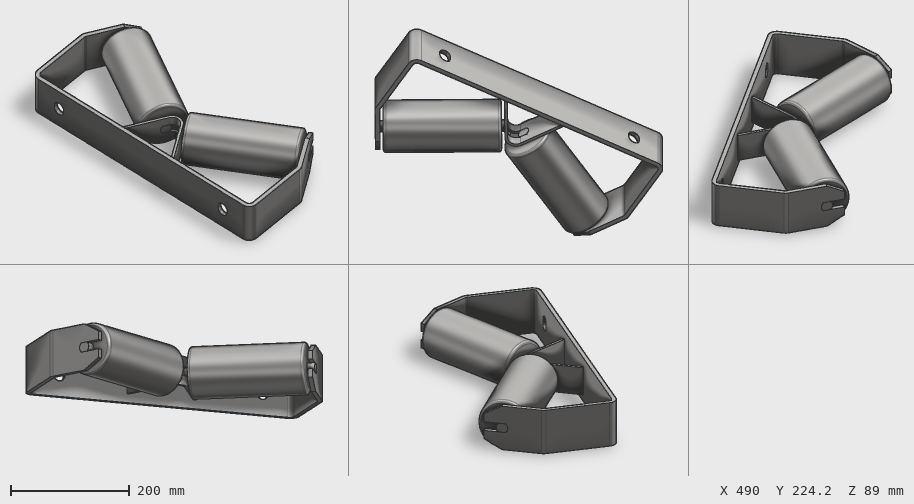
import cadquery as cq
import math

FRAME_LENGTH = 490.0
STRIP_WIDTH = 80.5
FRAME_THICKNESS = 8.0
FRAME_INNER_BEND = 8.0
FRAME_BEND = FRAME_INNER_BEND + FRAME_THICKNESS
ARM_TILT = 30.0
ARM_BEND_Y = 131.5
ARM_LENGTH = 104.0
ARM_CHAMFER_ALONG = 31.5
ARM_CHAMFER_ACROSS = 17.0

MOUNT_SLOT_X = 183.5
MOUNT_SLOT_WIDTH = 20.0
MOUNT_SLOT_HEIGHT = 26.0

ROLLER_DIAMETER = 89.0
ROLLER_LENGTH = 200.0
ROLLER_FILLET = 5.0
ROLLER_GAP = 5.5
ROLLER_SEAT = 72.5
SHAFT_DIAMETER = 20.0
SHAFT_FLATS = 16.0
SHOULDER_GAP = 1.5

BRACKET_THICKNESS = 5.0
BRACKET_HEIGHT = 50.0
BRACKET_TOP_Y = 99.5

TILT = math.radians(ARM_TILT)
ALONG_ARM = cq.Vector(math.sin(TILT), math.cos(TILT), 0)
ALONG_ROLLER = cq.Vector(math.cos(TILT), -math.sin(TILT), 0)

ARM_CORNER = cq.Vector(-FRAME_LENGTH / 2, ARM_BEND_Y, 0)
ARM_INNER_CORNER = ARM_CORNER + cq.Vector(FRAME_THICKNESS, -FRAME_THICKNESS * math.tan(TILT / 2), 0)
ARM_TIP = ARM_CORNER + ALONG_ARM * ARM_LENGTH
AXIS_START = ARM_CORNER + ALONG_ARM * ROLLER_SEAT

BARREL_START = FRAME_THICKNESS + ROLLER_GAP
BRACKET_FACE = BARREL_START + ROLLER_LENGTH + ROLLER_GAP
SHAFT_LENGTH = BRACKET_FACE + BRACKET_THICKNESS

ROLLER_PLANE = cq.Plane(origin=AXIS_START, xDir=ALONG_ARM, normal=ALONG_ROLLER)
BRACKET_PLANE = cq.Plane(
    origin=AXIS_START + ALONG_ROLLER * BRACKET_FACE, xDir=ALONG_ARM, normal=ALONG_ROLLER
)

BRACKET_APEX_Y = BRACKET_PLANE.origin.y - BRACKET_PLANE.origin.x / math.tan(TILT)
BRACKET_BEND = (BRACKET_APEX_Y - BRACKET_TOP_Y) / (1 / math.sin(TILT) - 1)


def mirrored(body):
    """The right-hand counterpart of a left-hand body."""
    return body.mirror("YZ")


def flatted_round(plane, length):
    """Shaft section: a circle with flats above and below."""
    bar = cq.Workplane(plane).circle(SHAFT_DIAMETER / 2).extrude(length)
    flats = cq.Workplane(plane).rect(SHAFT_DIAMETER, SHAFT_FLATS).extrude(length)
    return bar.intersect(flats)


def shaft_slot(plane, length, reach):
    """Slot that fits the flatted shaft and runs open for `reach` up the plate."""
    entry = (
        cq.Workplane(plane)
        .center(reach / 2, 0)
        .rect(reach, SHAFT_FLATS)
        .extrude(length)
    )
    return flatted_round(plane, length).union(entry)


def make_frame():
    """Bent strip with chamfered, slotted arms and two mounting slots in its base."""
    inner_tip = ARM_TIP + ALONG_ROLLER * FRAME_THICKNESS
    left_side = [
        (-FRAME_LENGTH / 2, 0),
        (ARM_CORNER.x, ARM_CORNER.y),
        (ARM_TIP.x, ARM_TIP.y),
        (inner_tip.x, inner_tip.y),
        (ARM_INNER_CORNER.x, ARM_INNER_CORNER.y),
        (ARM_INNER_CORNER.x, FRAME_THICKNESS),
    ]
    right_side = [(-x, y) for x, y in reversed(left_side)]
    frame = (
        cq.Workplane("XY")
        .polyline(left_side + right_side)
        .close()
        .extrude(STRIP_WIDTH / 2, both=True)
    )
    frame = round_bends(frame)
    for cutter in (arm_cutter(), mirrored(arm_cutter())):
        frame = frame.cut(cutter)
    mount_slots = (
        cq.Workplane("XZ")
        .pushPoints([(-MOUNT_SLOT_X, 0), (MOUNT_SLOT_X, 0)])
        .slot2D(MOUNT_SLOT_HEIGHT, MOUNT_SLOT_WIDTH, 90)
        .extrude(-FRAME_THICKNESS)
    )
    return frame.cut(mount_slots)


def round_bends(frame):
    """Round the base corners and the arm bends, inside and outside."""
    outer = [(ARM_CORNER.x, 0), (ARM_CORNER.x, ARM_CORNER.y)]
    inner = [
        (ARM_INNER_CORNER.x, FRAME_THICKNESS),
        (ARM_INNER_CORNER.x, ARM_INNER_CORNER.y),
    ]
    for corners, radius in ((outer, FRAME_BEND), (inner, FRAME_INNER_BEND)):
        for x, y in corners:
            for side in (-1, 1):
                edge = frame.edges(cq.selectors.NearestToPointSelector((side * x, y, 0)))
                frame = edge.fillet(radius)
    return frame


def arm_cutter():
    """Everything cut from the left arm: two corner chamfers and the shaft slot."""
    tip = ARM_LENGTH - ROLLER_SEAT
    edge = STRIP_WIDTH / 2
    cutter = shaft_slot(ROLLER_PLANE, FRAME_THICKNESS, tip)
    for side in (-1, 1):
        corner = (
            cq.Workplane(ROLLER_PLANE)
            .polyline([
                (tip, side * edge),
                (tip - ARM_CHAMFER_ALONG, side * edge),
                (tip, side * (edge - ARM_CHAMFER_ACROSS)),
            ])
            .close()
            .extrude(FRAME_THICKNESS)
        )
        cutter = cutter.union(corner)
    return cutter


def make_bracket():
    """Inverted V whose square-cut legs rest on the frame base by their lower edges."""
    foot_rise = BRACKET_THICKNESS * math.sin(TILT)
    foot_y = FRAME_THICKNESS + foot_rise
    foot_x = -(BRACKET_APEX_Y - foot_y) * math.tan(TILT)
    inner_apex_y = BRACKET_APEX_Y - BRACKET_THICKNESS / math.sin(TILT)
    heel_x = foot_x + BRACKET_THICKNESS * math.cos(TILT)
    bracket = (
        cq.Workplane("XY")
        .polyline([
            (foot_x, foot_y),
            (0, BRACKET_APEX_Y),
            (-foot_x, foot_y),
            (-heel_x, FRAME_THICKNESS),
            (0, inner_apex_y),
            (heel_x, FRAME_THICKNESS),
        ])
        .close()
        .extrude(BRACKET_HEIGHT / 2, both=True)
    )
    for y, radius in (
        (BRACKET_APEX_Y, BRACKET_BEND),
        (inner_apex_y, BRACKET_BEND - BRACKET_THICKNESS),
    ):
        bracket = bracket.edges(cq.selectors.NearestToPointSelector((0, y, 0))).fillet(radius)
    return cut_bracket_slot(bracket)


def cut_bracket_slot(bracket):
    """One slot running from roller to roller, right across the rounded top."""
    bend_center_y = BRACKET_TOP_Y - BRACKET_BEND
    tangent_x = BRACKET_BEND * math.cos(TILT)
    tangent_y = bend_center_y + BRACKET_BEND * math.sin(TILT)
    reach = (tangent_y - BRACKET_PLANE.origin.y) / math.cos(TILT)
    leg_slot = shaft_slot(BRACKET_PLANE, BRACKET_THICKNESS, reach)
    bend_slot = (
        cq.Workplane("XY")
        .polyline([
            (-tangent_x, tangent_y),
            (-tangent_x, BRACKET_TOP_Y),
            (tangent_x, BRACKET_TOP_Y),
            (tangent_x, tangent_y),
            (0, bend_center_y),
        ])
        .close()
        .extrude(SHAFT_FLATS / 2, both=True)
    )
    return bracket.cut(leg_slot).cut(mirrored(leg_slot)).cut(bend_slot)


def make_roller(right_hand):
    """One roller with its flatted shaft, on the left or the right of the frame."""
    barrel = (
        cq.Workplane(ROLLER_PLANE)
        .workplane(offset=BARREL_START)
        .circle(ROLLER_DIAMETER / 2)
        .extrude(ROLLER_LENGTH)
        .edges()
        .fillet(ROLLER_FILLET)
    )
    shoulders = (
        cq.Workplane(ROLLER_PLANE)
        .workplane(offset=FRAME_THICKNESS + SHOULDER_GAP)
        .circle(SHAFT_DIAMETER / 2)
        .extrude(BRACKET_FACE - FRAME_THICKNESS - 2 * SHOULDER_GAP)
    )
    roller = barrel.union(shoulders).union(flatted_round(ROLLER_PLANE, SHAFT_LENGTH))
    return mirrored(roller) if right_hand else roller


frame = make_frame()
bracket = make_bracket()
rollers = [make_roller(right_hand) for right_hand in (False, True)]

result = cq.Compound.makeCompound([
    frame.solids().val(),
    bracket.solids().val(),
    *[roller.solids().val() for roller in rollers],
])